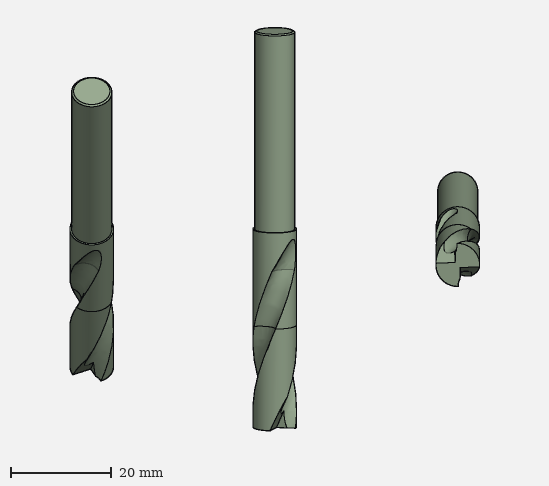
import cadquery as cq
import math

TOTAL_LENGTH = 80.0
CUTTER_DIAMETER = 8.7
SHANK_DIAMETER = 8.0
SHANK_LENGTH = 40.0
SHANK_CHAMFER_WIDTH = 0.4
SHANK_CHAMFER_HEIGHT = 0.25
CUTTING_LENGTH = 20.6

FLUTE_COUNT = 2
FLUTE_PITCH_ANGLE = 360.0 / FLUTE_COUNT
HELIX_LENGTH = 32.1
HELIX_LEAD = 66.8
FLUTE_START_ANGLE = -84.0
FLUTE_WIDTH_ANGLE = 72.0
FLUTE_FLOOR_RADIUS = CUTTER_DIAMETER / 4
RUNOUT_LENGTH = 10.0
RUNOUT_ANGLE = 29.0
RUNOUT_RISE = 0.21

GASH_CORNER = (0.0, -0.72)
GASH_FACE_ANGLE = 221.0
GASH_WALL_ANGLE = -46.0
GASH_HEIGHT = 8.0
GASH_LEAN = (0.28, -0.35)

CUTTER_RADIUS = CUTTER_DIAMETER / 2
SHANK_RADIUS = SHANK_DIAMETER / 2
NECK_TOP = TOTAL_LENGTH - SHANK_LENGTH
CLEARANCE = 2.0


def polar(radius, angle):
    """Point at a radius and an angle in degrees."""
    return (
        radius * math.cos(math.radians(angle)),
        radius * math.sin(math.radians(angle)),
    )


def make_cylinder(radius, bottom, top):
    return cq.Workplane("XY").workplane(offset=bottom).circle(radius).extrude(top - bottom)


def flute_profile(height, middle_angle):
    """Flute section: a round floor between the two edges, closed outside the blank."""
    half_width = CUTTER_RADIUS * math.sin(math.radians(FLUTE_WIDTH_ANGLE / 2))
    edge_radius = CUTTER_RADIUS * math.cos(math.radians(FLUTE_WIDTH_ANGLE / 2))
    outer_radius = CUTTER_RADIUS + CLEARANCE
    return (
        cq.Workplane("XY")
        .workplane(offset=height)
        .transformed(rotate=(0, 0, middle_angle))
        .moveTo(edge_radius, -half_width)
        .threePointArc((FLUTE_FLOOR_RADIUS, 0), (edge_radius, half_width))
        .lineTo(outer_radius, half_width)
        .lineTo(outer_radius, -half_width)
        .close()
    )


def make_helical_flute(start_angle):
    turn = 360.0 * HELIX_LENGTH / HELIX_LEAD
    return flute_profile(0, start_angle).twistExtrude(HELIX_LENGTH, turn)


def make_runout(start_angle):
    """Straight end of a flute, slanting up and out of the blank."""
    end_angle = start_angle + 360.0 * HELIX_LENGTH / HELIX_LEAD
    slant = math.tan(math.radians(RUNOUT_ANGLE))
    outward = polar(RUNOUT_RISE, end_angle)
    along = polar(slant, end_angle + 90)
    path = cq.Vector(outward[0] + along[0], outward[1] + along[1], 1) * RUNOUT_LENGTH
    wire = flute_profile(HELIX_LENGTH, end_angle).wire().val()
    return cq.Workplane(cq.Solid.extrudeLinear(wire, [], path))


def make_gash(turn):
    """Wedge that opens the tip of a flute towards the axis."""
    corner = cq.Vector(*GASH_CORNER)
    reach = CUTTER_DIAMETER + CLEARANCE
    face_end = corner + cq.Vector(*polar(reach, GASH_FACE_ANGLE))
    wall_end = corner + cq.Vector(*polar(reach, GASH_WALL_ANGLE))
    wire = cq.Wire.makePolygon([corner, face_end, wall_end], close=True)
    path = cq.Vector(*GASH_LEAN, 1) * GASH_HEIGHT
    wedge = cq.Workplane(cq.Solid.extrudeLinear(wire, [], path))
    return wedge.rotate((0, 0, 0), (0, 0, 1), turn)


def make_cutting_part():
    body = make_cylinder(CUTTER_RADIUS, 0, CUTTING_LENGTH)
    for index in range(FLUTE_COUNT):
        turn = index * FLUTE_PITCH_ANGLE
        body = body.cut(make_helical_flute(FLUTE_START_ANGLE + turn))
        body = body.cut(make_gash(turn))
    return body


def make_shank_part():
    neck = make_cylinder(CUTTER_RADIUS, CUTTING_LENGTH, NECK_TOP)
    for index in range(FLUTE_COUNT):
        start_angle = FLUTE_START_ANGLE + index * FLUTE_PITCH_ANGLE
        neck = neck.cut(make_helical_flute(start_angle))
        neck = neck.cut(make_runout(start_angle))
    shank = (
        make_cylinder(SHANK_RADIUS, NECK_TOP, TOTAL_LENGTH)
        .faces(">Z")
        .chamfer(SHANK_CHAMFER_HEIGHT, SHANK_CHAMFER_WIDTH)
    )
    return neck.union(shank)


cutting_part = make_cutting_part()
shank_part = make_shank_part()

result = cq.Compound.makeCompound([cutting_part.val(), shank_part.val()])